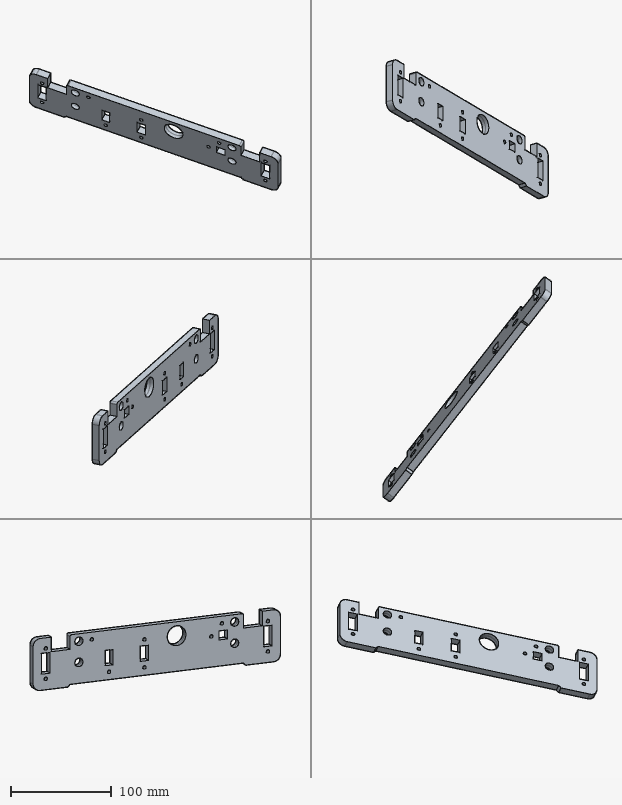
import cadquery as cq

length = 269.4
thickness = 7.8
height = 53.5
corner_radius = 7.5

notch_inner_x = 94.5
notch_outer_x = 114.7
notch_floor_z = 11.9
notch_lip_radius = 2.0
relief_depth = 2.5

screw_diameter = 3.5
mount_diameter = 8.5
port_diameter = 20.2
mount_x = 84.8
mount_heights = (19.0, -2.7)
end_x = 121.0
end_screw_heights = (16.0, -15.4)
upper_screw_x = 70.8
upper_screw_z = 19.5
lower_screw_z = -16.2
port_center = (21.5, 12.5)

window_width = 9.2
end_window_height = 21.3
end_window_z = 0.5
middle_window_height = 15.5
middle_window_z = -1.5
narrow_window_width = 8.4
narrow_window_x = -52.0
wide_window_x = -13.5
wide_window_screw_z = 12.7
square_window_x = 72.5
square_window_z = 7.3
square_side_screw_x = 59.3


def make_plate():
    """Rounded plate with two top notches and a chamfer-ended bottom relief."""
    half_height = height / 2
    plate = cq.Workplane("XY").box(length, thickness, height)
    plate = plate.edges("|Y").fillet(corner_radius)

    recess_depth = half_height - notch_floor_z
    recess_z = notch_floor_z + recess_depth / 2
    recess = cq.Workplane("XY").box(2 * notch_outer_x, thickness, recess_depth)
    tongue = cq.Workplane("XY").box(2 * notch_inner_x, thickness, recess_depth)
    tongue = tongue.edges("|Y and >Z").fillet(notch_lip_radius)
    plate = plate.cut(recess.translate((0, 0, recess_z)))
    plate = plate.union(tongue.translate((0, 0, recess_z)))

    relief_outer_x = notch_inner_x + relief_depth
    relief = (
        cq.Workplane("XZ")
        .polyline([
            (-relief_outer_x, -half_height),
            (-notch_inner_x, relief_depth - half_height),
            (notch_inner_x, relief_depth - half_height),
            (relief_outer_x, -half_height),
        ])
        .close()
        .extrude(thickness / 2, both=True)
    )
    return plate.cut(relief)


def cut_holes(plate, centers, diameter):
    """Drill round holes right through the thickness."""
    drills = cq.Workplane("XZ").pushPoints(centers).circle(diameter / 2)
    return plate.cut(drills.extrude(thickness, both=True))


def cut_windows(plate, centers, width, window_height):
    """Cut rectangular windows right through the thickness."""
    windows = cq.Workplane("XZ").pushPoints(centers).rect(width, window_height)
    return plate.cut(windows.extrude(thickness, both=True))


end_screws = [(side * end_x, z) for side in (-1, 1) for z in end_screw_heights]
mounts = [(side * mount_x, z) for side in (-1, 1) for z in mount_heights]
upper_screws = [(side * upper_screw_x, upper_screw_z) for side in (-1, 1)]
window_screws = [
    (narrow_window_x, lower_screw_z),
    (wide_window_x, lower_screw_z),
    (wide_window_x, wide_window_screw_z),
    (square_side_screw_x, square_window_z),
]
end_windows = [(side * end_x, end_window_z) for side in (-1, 1)]

result = make_plate()
result = cut_holes(result, end_screws + upper_screws + window_screws, screw_diameter)
result = cut_holes(result, mounts, mount_diameter)
result = cut_holes(result, [port_center], port_diameter)
result = cut_windows(result, end_windows, window_width, end_window_height)
result = cut_windows(result, [(narrow_window_x, middle_window_z)], narrow_window_width, middle_window_height)
result = cut_windows(result, [(wide_window_x, middle_window_z)], window_width, middle_window_height)
result = cut_windows(result, [(square_window_x, square_window_z)], window_width, window_width)